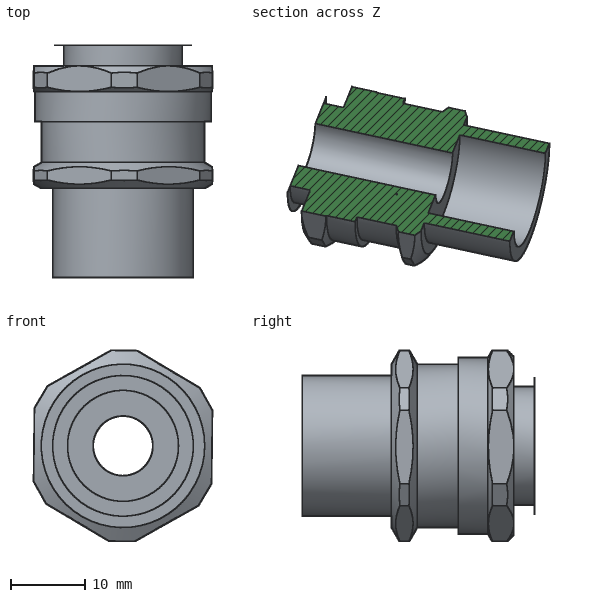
import cadquery as cq
import math

pipe_diameter = 18.95
pipe_bore_diameter = 14.95
cable_bore_diameter = 8.0
body_diameter = 22.0
collar_diameter = 23.8
neck_diameter = 16.0
flange_diameter = 18.4
flange_thickness = 0.05

pipe_length = 12.0
nut_width = 3.5
body_length = 5.5
collar_length = 4.0
overall_length = 31.3

front_nut_start = pipe_length
body_start = front_nut_start + nut_width
collar_start = body_start + body_length
rear_nut_start = collar_start + collar_length
neck_start = rear_nut_start + nut_width
flange_start = overall_length - flange_thickness

nut_across_flats = 24.0
nut_across_corner_facets = 25.71
nut_corner_diameter = 26.0
nut_turn = 0.7
half_step = 30.0
shallow_chamfer_angle = 30.0
steep_chamfer_angle = 45.0


def cylinder(diameter, start, end):
    """Round bar along +Y between two stations."""
    plane = cq.Workplane("XZ", origin=(0, start, 0))
    return plane.circle(diameter / 2).extrude(start - end)


def chamfer_width(face_diameter, angle):
    """Axial width of the cone from an end face of the nut out to its corners."""
    return (nut_corner_diameter - face_diameter) / 2 * math.tan(math.radians(angle))


def hex_bar(across_flats, start, turn):
    """Hexagonal bar one nut wide, with its corners on the X axis before it is turned about Y."""
    across_corners = across_flats / math.cos(math.radians(half_step))
    bar = cq.Workplane("XZ", origin=(0, start, 0)).polygon(6, across_corners).extrude(-nut_width)
    return bar.rotate((0, 0, 0), (0, 1, 0), turn)


def hex_nut(start, front_face_diameter, front_angle, rear_face_diameter, rear_angle):
    """Hexagon nut with flattened corners and a turned cone at each end."""
    end = start + nut_width
    corner_radius = nut_corner_diameter / 2
    front_corner = start + chamfer_width(front_face_diameter, front_angle)
    rear_corner = end - chamfer_width(rear_face_diameter, rear_angle)
    turned_blank = (
        cq.Workplane("XY")
        .moveTo(0, start)
        .lineTo(front_face_diameter / 2, start)
        .lineTo(corner_radius, front_corner)
        .lineTo(corner_radius, rear_corner)
        .lineTo(rear_face_diameter / 2, end)
        .lineTo(0, end)
        .close()
        .revolve(360, (0, 0, 0), (0, 1, 0))
    )
    flats = hex_bar(nut_across_flats, start, half_step + nut_turn)
    corner_facets = hex_bar(nut_across_corner_facets, start, nut_turn)
    return turned_blank.intersect(flats).intersect(corner_facets)


front_nut = hex_nut(
    front_nut_start, body_diameter, shallow_chamfer_angle, body_diameter, shallow_chamfer_angle
)
rear_nut = hex_nut(
    rear_nut_start, collar_diameter, shallow_chamfer_angle, nut_across_flats, steep_chamfer_angle
)

pipe = cylinder(pipe_diameter, 0, front_nut_start)
body = cylinder(body_diameter, body_start, collar_start)
collar = cylinder(collar_diameter, collar_start, rear_nut_start)
neck = cylinder(neck_diameter, neck_start, flange_start)
flange = cylinder(flange_diameter, flange_start, overall_length)

pipe_bore = cylinder(pipe_bore_diameter, 0, pipe_length)
cable_bore = cylinder(cable_bore_diameter, 0, overall_length)

result = (
    pipe.union(front_nut)
    .union(body)
    .union(collar)
    .union(rear_nut)
    .union(neck)
    .union(flange)
    .cut(pipe_bore)
    .cut(cable_bore)
)